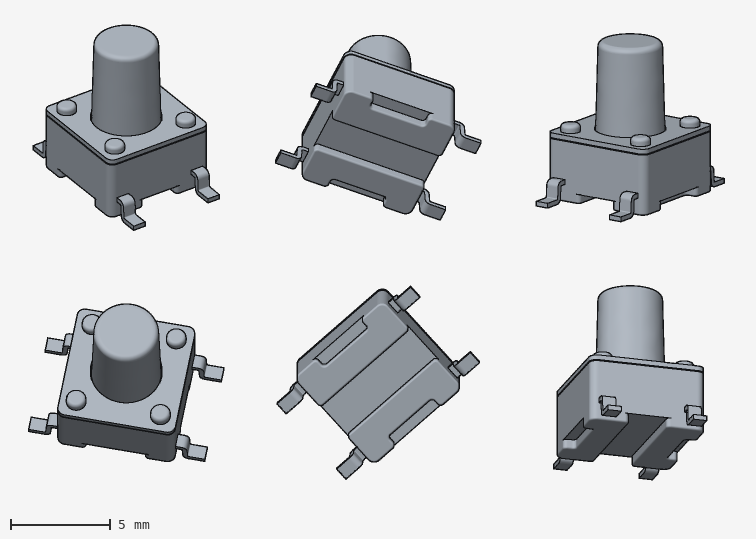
import cadquery as cq
import math

body_side = 6.0
body_top = 3.15
corner_radius = 0.4
bottom_round = 0.1

relief_height = 0.5
relief_round = 0.2
channel_width = 2.0
pocket_width = 3.01
pocket_depth = 0.6

button_top = 8.0
button_base_diameter = 3.5
button_draft = 1.5
button_round = 0.3

lead_span = 9.0
lead_width = 0.7
lead_thickness = 0.25
lead_top = 1.15
lead_spacing = 4.5
lead_pad_length = 0.82
lead_inner_radius = 0.05
lead_web_slant = 3.0
lead_embed = 0.18

cover_gap = 0.05
cover_thickness = 0.25
cover_hole_diameter = 3.6
rivet_diameter = 1.0
rivet_height = 0.4
rivet_round = 0.2
rivet_spacing = 4.3

body_half = body_side / 2


def rounded_square(height):
    """Square block with the shared footprint of base and cover, on Z = 0."""
    block = cq.Workplane("XY").rect(body_side, body_side).extrude(height)
    return block.edges("|Z").fillet(corner_radius)


def make_channel():
    """Channel along X whose mouths flare out with rounds onto the end faces."""
    wall = channel_width / 2
    mouth = wall + relief_round
    inset = body_half - relief_round
    bend = relief_round * math.sqrt(0.5)
    return (
        cq.Workplane("XY")
        .moveTo(-inset, -wall)
        .lineTo(inset, -wall)
        .threePointArc((inset + bend, -mouth + bend), (body_half, -mouth))
        .lineTo(body_half, mouth)
        .threePointArc((inset + bend, mouth - bend), (inset, wall))
        .lineTo(-inset, wall)
        .threePointArc((-inset - bend, mouth - bend), (-body_half, mouth))
        .lineTo(-body_half, -mouth)
        .threePointArc((-inset - bend, -mouth + bend), (-inset, -wall))
        .close()
        .extrude(relief_height)
    )


def make_pocket():
    """Pocket in the -Y side: rounded outer edges and rounded inner corners."""
    wall = pocket_width / 2
    mouth = wall + relief_round
    floor = wall - relief_round
    face_y = -body_half
    back_y = face_y + pocket_depth
    bend = relief_round * math.sqrt(0.5)
    mouth_y = face_y + relief_round
    corner_y = back_y - relief_round
    return (
        cq.Workplane("XY")
        .moveTo(-mouth, face_y)
        .lineTo(mouth, face_y)
        .threePointArc((mouth - bend, mouth_y - bend), (wall, mouth_y))
        .lineTo(wall, corner_y)
        .threePointArc((floor + bend, corner_y + bend), (floor, back_y))
        .lineTo(-floor, back_y)
        .threePointArc((-floor - bend, corner_y + bend), (-wall, corner_y))
        .lineTo(-wall, mouth_y)
        .threePointArc((-mouth + bend, mouth_y - bend), (-mouth, face_y))
        .close()
        .extrude(relief_height)
    )


def make_housing():
    """Base block, relieved underneath, with every bottom edge rounded."""
    pocket = make_pocket()
    housing = rounded_square(body_top).cut(make_channel())
    housing = housing.cut(pocket).cut(pocket.mirror("XZ"))
    return housing.faces("<Z").edges().fillet(bottom_round)


def make_button():
    """Round button that narrows upward, with a rounded top edge."""
    button = (
        cq.Workplane("XY", origin=(0, 0, body_top))
        .circle(button_base_diameter / 2)
        .extrude(button_top - body_top, taper=button_draft)
    )
    return button.faces(">Z").edges().fillet(button_round)


def polar_point(centre, radius, degrees):
    angle = math.radians(degrees)
    return (centre[0] + radius * math.cos(angle), centre[1] + radius * math.sin(angle))


def add_bend(profile, centre, radius, start, end):
    """Continue the profile with an arc from angle start to angle end, in degrees."""
    middle = polar_point(centre, radius, (start + end) / 2)
    return profile.threePointArc(middle, polar_point(centre, radius, end))


def make_lead():
    """Lead on the +X side, centred on Y = 0: shelf, slanted web and solder pad."""
    inner = lead_inner_radius
    outer = inner + lead_thickness
    slant = math.radians(lead_web_slant)
    tip_x = lead_span / 2

    lower_bend = (tip_x - lead_pad_length, outer)
    upper_z = lead_top - outer
    bend_drop = upper_z - lower_bend[1]
    bend_run = (inner + outer + bend_drop * math.sin(slant)) / math.cos(slant)
    upper_bend = (lower_bend[0] - bend_run, upper_z)

    web_upper = lead_web_slant
    web_lower = 180 + lead_web_slant
    root_x = body_half - lead_embed

    profile = cq.Workplane("XZ", origin=(0, lead_width / 2, 0))
    profile = profile.moveTo(root_x, lead_top).lineTo(upper_bend[0], lead_top)
    profile = add_bend(profile, upper_bend, outer, 90, web_upper)
    profile = profile.lineTo(*polar_point(lower_bend, inner, web_lower))
    profile = add_bend(profile, lower_bend, inner, web_lower, 270)
    profile = profile.lineTo(tip_x, lead_thickness).lineTo(tip_x, 0).lineTo(lower_bend[0], 0)
    profile = add_bend(profile, lower_bend, outer, 270, web_lower)
    profile = profile.lineTo(*polar_point(upper_bend, inner, web_upper))
    profile = add_bend(profile, upper_bend, inner, web_upper, 90)
    profile = profile.lineTo(root_x, lead_top - lead_thickness).close()
    return profile.extrude(lead_width)


def make_base():
    """Housing, button and four leads as one solid."""
    base = make_housing().union(make_button())
    right_lead = make_lead()
    for lead in (right_lead, right_lead.mirror("YZ")):
        for y in (-lead_spacing / 2, lead_spacing / 2):
            base = base.union(lead.translate((0, y, 0)))
    return base


def make_cover():
    """Plate with a clearance hole for the button and a round-topped rivet near each corner."""
    rivets = (
        cq.Workplane("XY", origin=(0, 0, cover_thickness))
        .rect(rivet_spacing, rivet_spacing, forConstruction=True)
        .vertices()
        .circle(rivet_diameter / 2)
        .extrude(rivet_height)
    )
    rivets = rivets.faces(">Z").edges().fillet(rivet_round)
    plate = rounded_square(cover_thickness).faces(">Z").workplane().hole(cover_hole_diameter)
    return plate.union(rivets).translate((0, 0, body_top + cover_gap))


base = make_base()
cover = make_cover()

result = cq.Compound.makeCompound([base.solids().val(), cover.solids().val()])